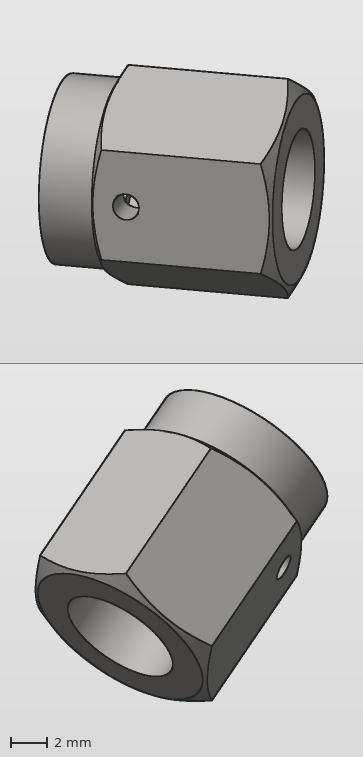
import cadquery as cq
import math

total_length = 13.46
collar_length = 3.05
collar_diameter = 10.68
collar_bore = 5.34

hexagon_sides = 6
across_flats = 11.11
nut_bore = 6.8
chamfer_angle = 30

cross_hole_diameter = 1.5
cross_hole_x = 5.08

nut_length = total_length - collar_length
across_corners = across_flats / math.cos(math.pi / hexagon_sides)
corner_radius = across_corners / 2
face_radius = collar_diameter / 2
chamfer_depth = (corner_radius - face_radius) * math.tan(math.radians(chamfer_angle))


def make_collar():
    """Plain ring at the -X end."""
    return (
        cq.Workplane("YZ")
        .circle(collar_diameter / 2)
        .circle(collar_bore / 2)
        .extrude(collar_length)
    )


def make_chamfer_envelope():
    """Turned blank whose coned ends cut the hexagon's corners."""
    return (
        cq.Workplane("XY")
        .moveTo(collar_length, 0)
        .lineTo(collar_length, face_radius)
        .lineTo(collar_length + chamfer_depth, corner_radius)
        .lineTo(total_length - chamfer_depth, corner_radius)
        .lineTo(total_length, face_radius)
        .lineTo(total_length, 0)
        .close()
        .revolve(360, (0, 0, 0), (1, 0, 0))
    )


def make_nut():
    """Hexagon with flats on the Y sides, coned at both ends, bored along X and drilled along Y."""
    hexagon = (
        cq.Workplane("YZ", origin=(collar_length, 0, 0))
        .transformed(rotate=(0, 0, 90))
        .polygon(hexagon_sides, across_corners)
        .extrude(nut_length)
    )
    bore = (
        cq.Workplane("YZ", origin=(collar_length, 0, 0))
        .circle(nut_bore / 2)
        .extrude(nut_length)
    )
    cross_hole = (
        cq.Workplane("XZ")
        .center(cross_hole_x, 0)
        .circle(cross_hole_diameter / 2)
        .extrude(across_flats / 2, both=True)
    )
    return hexagon.intersect(make_chamfer_envelope()).cut(bore).cut(cross_hole)


collar = make_collar()
nut = make_nut()

result = cq.Compound.makeCompound([collar.val(), nut.val()])